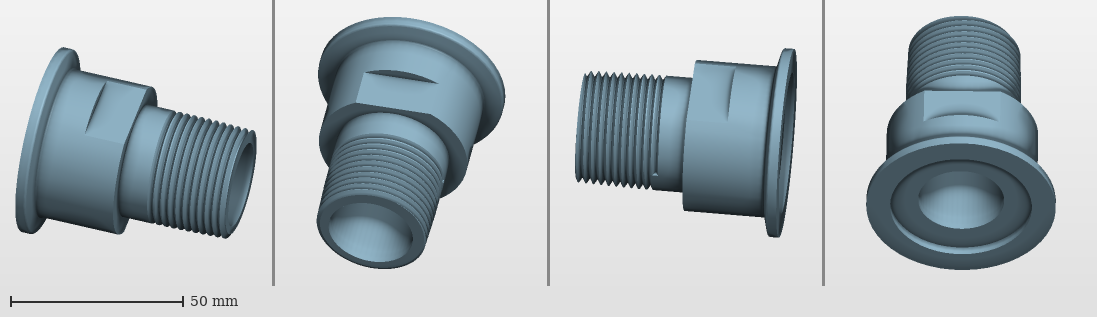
import cadquery as cq
import math

total_length = 60.0
flange_diameter = 55.0
flange_rim_width = 3.0
flange_cone_angle = 15.0
flange_edge_fillet = 0.8
flange_root_fillet = 0.5
recess_diameter = 41.2
recess_depth = 2.6

body_diameter = 44.0
body_end = 28.0
flat_start = 16.0
across_flats = 38.0
bore_diameter = 25.0

neck_diameter = 33.4
thread_pitch = 25.4 / 11.5
diameter_taper = 1 / 16
taper_angle = math.degrees(math.atan(diameter_taper / 2))
groove_start = 36.5
groove_overrun = thread_pitch
thread_flank_angle = 30.0
root_flat = 0.3
crest_flat = 0.12
groove_top_flat = 0.06
full_crest_position = 46.5

edge_tolerance = 0.1

part_axis = cq.Plane(origin=(0, 0, 0), xDir=(0, 1, 0), normal=(1, 0, 0))


def crest_radius(x):
    """Radius of the tapered thread crests at axial position x."""
    return neck_diameter / 2 - (x - full_crest_position) * diameter_taper / 2


def edges_near(x):
    """Selector for the edges lying at axial position x."""
    return cq.selectors.BoxSelector(
        (x - edge_tolerance, -flange_diameter, -flange_diameter),
        (x + edge_tolerance, flange_diameter, flange_diameter),
    )


def make_blank():
    """Turned outside: flange, body and neck."""
    flange_radius = flange_diameter / 2
    body_radius = body_diameter / 2
    neck_radius = neck_diameter / 2
    cone_width = (flange_radius - body_radius) * math.tan(math.radians(flange_cone_angle))
    cone_end = flange_rim_width + cone_width
    outline = [
        (0, 0),
        (0, flange_radius),
        (flange_rim_width, flange_radius),
        (cone_end, body_radius),
        (body_end, body_radius),
        (body_end, neck_radius),
        (total_length, neck_radius),
        (total_length, 0),
    ]
    blank = cq.Workplane("XY").polyline(outline).close().revolve(360, (0, 0, 0), (1, 0, 0))
    blank = blank.edges(edges_near(flange_rim_width)).fillet(flange_edge_fillet)
    return blank.edges(edges_near(cone_end)).fillet(flange_root_fillet)


def cut_wrench_flats(body):
    """Two parallel flats, above and below, running to the end of the body."""
    flat_length = body_end - flat_start
    cut_height = (body_diameter - across_flats) / 2
    cut_center = (across_flats + cut_height) / 2
    for side in (1, -1):
        cutter = cq.Workplane("XY").box(flat_length, body_diameter, cut_height)
        middle = (flat_start + flat_length / 2, 0, side * cut_center)
        body = body.cut(cutter.translate(middle))
    return body


def make_thread_groove():
    """Right-hand V groove on a tapering helix, running out past the threaded end."""
    flank_slope = math.tan(math.radians(thread_flank_angle))
    half_root = root_flat / 2
    half_top = (thread_pitch - groove_top_flat) / 2
    start_crest = crest_radius(groove_start)
    root_radius = start_crest - ((thread_pitch - crest_flat) / 2 - half_root) / flank_slope
    top_radius = root_radius + (half_top - half_root) / flank_slope
    helix_length = total_length + groove_overrun - groove_start
    helix = cq.Wire.makeHelix(thread_pitch, helix_length, root_radius, angle=-taper_angle)
    groove = (
        cq.Workplane("XZ")
        .polyline([
            (root_radius, -half_root),
            (top_radius, -half_top),
            (top_radius, half_top),
            (root_radius, half_root),
        ])
        .close()
        .sweep(cq.Workplane(helix), isFrenet=True)
        .translate((0, 0, groove_start))
    )
    return cq.Workplane(groove.val().moved(cq.Location(part_axis)))


def make_crest_trimmer():
    """Ring that tapers the thread crests toward the end of the part."""
    trim_end = total_length + groove_overrun
    outline = [
        (full_crest_position, neck_diameter / 2),
        (trim_end, crest_radius(trim_end)),
        (trim_end, body_diameter / 2),
        (full_crest_position, body_diameter / 2),
    ]
    return cq.Workplane("XY").polyline(outline).close().revolve(360, (0, 0, 0), (1, 0, 0))


def make_axial_hole(diameter, depth):
    """Round cutter entering from the flange face."""
    return cq.Workplane("YZ").circle(diameter / 2).extrude(depth)


result = cut_wrench_flats(make_blank())
result = result.cut(make_thread_groove())
result = result.cut(make_crest_trimmer())
result = result.cut(make_axial_hole(recess_diameter, recess_depth))
result = result.cut(make_axial_hole(bore_diameter, total_length))